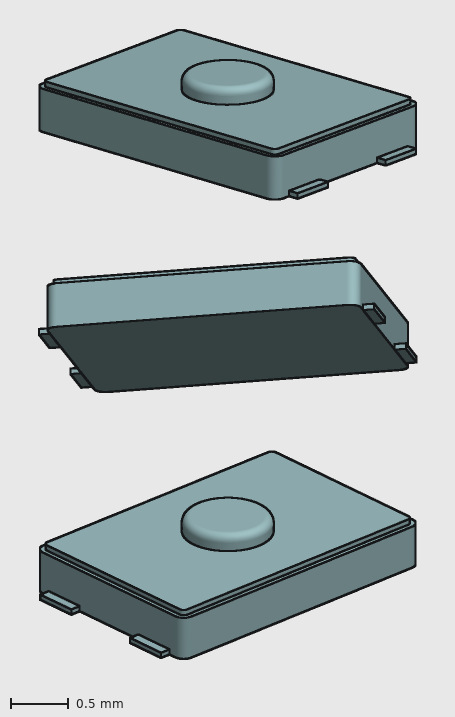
import cadquery as cq

overall_length = 3.0
overall_height = 0.6

housing_width = 1.9
shoulder_height = 0.4
housing_corner_radius = 0.1
step_inset = 0.05
step_height = 0.05

button_diameter = 0.8
button_edge_radius = 0.072

terminal_reach = 0.1
terminal_width = 0.4
terminal_thickness = 0.05
terminal_offset = 0.575

housing_length = overall_length - 2 * terminal_reach
step_top = shoulder_height + step_height
button_height = overall_height - step_top


def rounded_plate(length, width, height, corner_radius, base_z):
    """Flat block centred in X and Y, with rounded vertical edges."""
    return (
        cq.Workplane("XY", origin=(0, 0, base_z))
        .rect(length, width)
        .extrude(height)
        .edges("|Z")
        .fillet(corner_radius)
    )


def make_housing():
    """Block with a slightly smaller step, keeping the ledge even around the corners."""
    base = rounded_plate(housing_length, housing_width, shoulder_height, housing_corner_radius, 0)
    step = rounded_plate(
        housing_length - 2 * step_inset,
        housing_width - 2 * step_inset,
        step_height,
        housing_corner_radius - step_inset,
        shoulder_height,
    )
    return base.union(step)


def make_button():
    """Round button resting on the step, with a rounded top edge."""
    return (
        cq.Workplane("XY", origin=(0, 0, step_top))
        .circle(button_diameter / 2)
        .extrude(button_height)
        .faces(">Z")
        .edges()
        .fillet(button_edge_radius)
    )


def make_terminal(x_side, y_side):
    """Solder tab against one end face of the housing, flush with its underside."""
    center_x = x_side * (housing_length + terminal_reach) / 2
    return (
        cq.Workplane("XY", origin=(center_x, y_side * terminal_offset, 0))
        .rect(terminal_reach, terminal_width)
        .extrude(terminal_thickness)
    )


housing = make_housing()
button = make_button()
terminals = [make_terminal(x_side, y_side) for x_side in (-1, 1) for y_side in (-1, 1)]

result = cq.Compound.makeCompound(
    [housing.val(), button.val(), *[terminal.val() for terminal in terminals]]
)